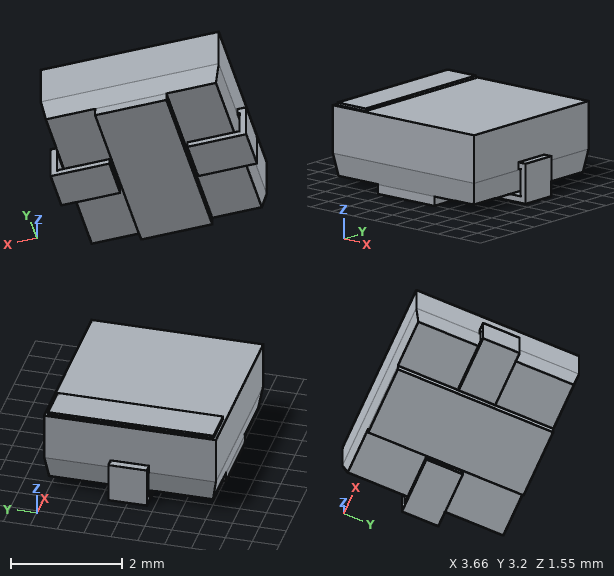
import cadquery as cq

body_length = 3.33
body_width = 3.2
body_top = 1.5
parting_height = 0.608
base_height = 0.18
base_inset = 0.075
foot_length = 1.332

overall_height = 1.55
band_length = 0.67
band_width = 3.08
band_edge_gap = 0.06

overall_length = 3.66
lead_width = 0.717
lead_thickness = 0.125
lead_height = 0.75
lead_foot_length = 1.1


def make_housing():
    """Moulded block tapering below the parting line, with a central foot."""
    upper = (
        cq.Workplane("XY", origin=(0, 0, parting_height))
        .rect(body_length, body_width)
        .extrude(body_top - parting_height)
    )
    base_length = body_length - 2 * base_inset
    base_width = body_width - 2 * base_inset
    lower = (
        cq.Workplane("XY", origin=(0, 0, base_height))
        .rect(base_length, base_width)
        .workplane(offset=parting_height - base_height)
        .rect(body_length, body_width)
        .loft(ruled=True)
    )
    foot = cq.Workplane("XY").rect(foot_length, base_width).extrude(base_height)
    return upper.union(lower).union(foot)


def make_band():
    """Thin raised strip along the -X edge of the top face."""
    center_x = -body_length / 2 + band_edge_gap + band_length / 2
    return (
        cq.Workplane("XY", origin=(center_x, 0, body_top))
        .rect(band_length, band_width)
        .extrude(overall_height - body_top)
    )


def make_lead(side):
    """C-shaped lead; side is -1 or +1 for the end of the X axis."""
    outer = side * overall_length / 2
    inner = outer - side * lead_thickness
    housing_end = side * body_length / 2
    foot_end = outer - side * lead_foot_length
    return (
        cq.Workplane("XZ")
        .polyline([
            (foot_end, 0),
            (outer, 0),
            (outer, lead_height),
            (housing_end, lead_height),
            (housing_end, lead_height - lead_thickness),
            (inner, lead_height - lead_thickness),
            (inner, lead_thickness),
            (foot_end, lead_thickness),
        ])
        .close()
        .extrude(lead_width / 2, both=True)
    )


housing = make_housing()
band = make_band()
leads = [make_lead(side) for side in (-1, 1)]

result = cq.Compound.makeCompound([housing.val(), band.val(), *[lead.val() for lead in leads]])